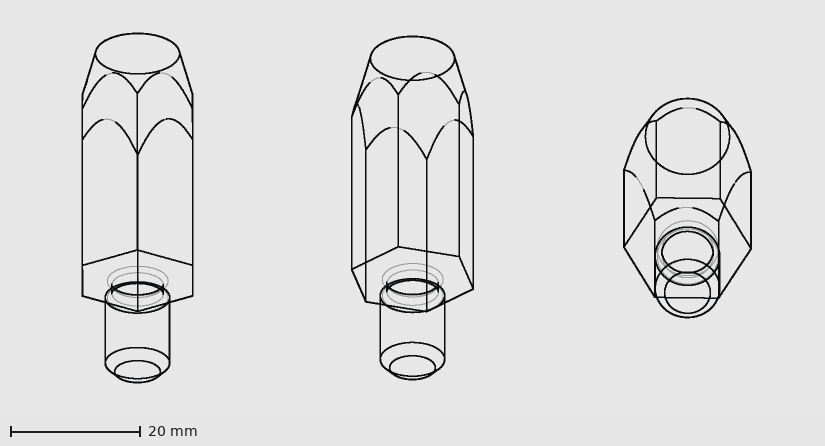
import cadquery as cq
import math

total_length = 56.0
stud_length = 16.0
across_flats = 17.0
across_corners = across_flats / math.cos(math.pi / 6)

top_radius = 6.5
taper_angle = 15.0

stud_radius = 5.0
tip_radius = 3.5
tip_length = 1.5
neck_radius = 4.0
neck_length = 2.95
neck_fillet = 0.7


def hexagonal_body():
    """Hexagonal bar with corners along Y, turned to a cone at the top."""
    body_length = total_length - stud_length
    bar = (
        cq.Workplane("XY", origin=(0, 0, stud_length))
        .polygon(6, across_corners)
        .extrude(body_length)
        .rotate((0, 0, 0), (0, 0, 1), 30)
    )
    base_radius = top_radius + body_length * math.tan(math.radians(taper_angle))
    cone = cq.Workplane("XY").add(
        cq.Solid.makeCone(base_radius, top_radius, body_length, pnt=cq.Vector(0, 0, stud_length))
    )
    return bar.intersect(cone)


def stud():
    """Round stud with a chamfered tip and a filleted undercut below the body."""
    neck_bottom = stud_length - neck_length
    flare_radius = neck_radius + neck_fillet
    arc_inset = neck_fillet * (1 - math.sqrt(0.5))
    arc_mid_radius = neck_radius + arc_inset
    return (
        cq.Workplane("XZ")
        .lineTo(tip_radius, 0)
        .lineTo(stud_radius, tip_length)
        .lineTo(stud_radius, neck_bottom)
        .lineTo(flare_radius, neck_bottom)
        .threePointArc((arc_mid_radius, neck_bottom + arc_inset), (neck_radius, neck_bottom + neck_fillet))
        .lineTo(neck_radius, stud_length - neck_fillet)
        .threePointArc((arc_mid_radius, stud_length - arc_inset), (flare_radius, stud_length))
        .lineTo(0, stud_length)
        .close()
        .revolve(360, (0, 0), (0, 1))
    )


result = hexagonal_body().union(stud())